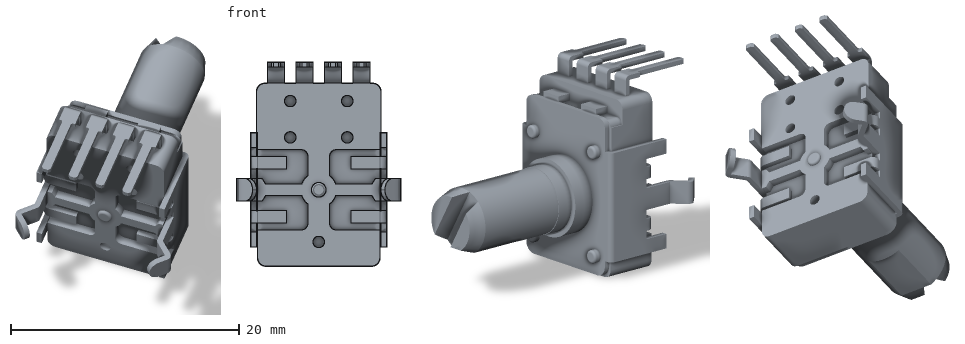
import cadquery as cq
import math


cut_margin = 0.24

sheet = 0.5
plate_half_width = 5.2
plate_top = 7.97
plate_bottom = -6.55
plate_top_radius = 0.79
plate_bottom_radius = 1.0
plate_bend_radius = 0.45
wing_half_width = 5.97
wing_half_height = 5.02
wing_notch_y = -4.16
leg_end_y = -6.52
leg_inner_z = 3.7
wing_inner_x = wing_half_width - sheet

clip_half_height = 1.0
clip_bend_y = -6.95
overall_width = 14.4
clip_outer_x = overall_width / 2
clip_elbow_x = clip_outer_x - sheet
clip_tip_length = 1.75
clip_tip_radius = 0.98

tab_inner_x = 2.8
tab_center_z = 2.38
tab_width = 1.1
tab_bend_radius = 0.6

body_top = 9.35
body_bottom = -6.7
body_back_y = -5.3
body_half_width = wing_inner_x
body_lower_half_width = 5.38
body_radius = 0.79

lip_back_y = -1.8
lip_shoulder_z = 7.19
lip_half_width = 5.35
lip_radius = 0.6
lip_block_inner_x = 1.48
lip_block_outer_x = 3.47
lip_block_top = 8.45

pocket_floor_y = -4.52
pocket_inner_x = 0.95
pocket_inner_z = 0.5
pocket_outer_z = 3.52
pocket_radius = 0.6
hub_radius = 1.57
ramp_inner_x = 4.66
ramp_outer_x = 4.97
hole_diameter = 1.0
hole_depth = 1.0
hole_centers = [(-2.5, 7.78), (2.5, 7.78), (-2.5, 4.6), (2.5, 4.6), (0, -4.57)]
rivet_radius = 0.65
rivet_height = 0.29
rivet_fillet = 0.2

stud_x = 4.02
stud_z = 4.78
stud_radius = 0.6
stud_fillet = 0.21
stud_height_left = 0.65
stud_height_right = 0.55

bushing_radius = 3.55
bushing_end_y = 2.0
collar_radius = 3.05
collar_end_y = 3.47
shaft_radius = 3.0
shaft_end_y = 13.5
flat_start_y = 6.5
flat_z = -2.6
taper_length = 1.45
taper_inset = 0.48
slot_angle = 120
slot_floor_half_width = 0.65
slot_tip_half_width = 1.07

terminal_pitch = 2.5
terminal_count = 4
terminal_top = 11.19
terminal_root = 0.24
terminal_thickness = 0.43
terminal_front_y = -3.07
terminal_shoulder_y = -4.75
terminal_end_y = -10.3
terminal_width = 1.5
terminal_neck_fillet = 0.2
pin_width = 0.8
pin_chamfer = 0.2


def box(x_range, y_range, z_range):
    """Axis-aligned box from its limits."""
    size = [high - low for low, high in (x_range, y_range, z_range)]
    corner = (x_range[0], y_range[0], z_range[0])
    return cq.Workplane("XY").box(*size, centered=False).translate(corner)


def front_plane(y):
    """Sketch plane at a given Y; local axes are X and Z, and a positive extrusion runs toward -Y."""
    return cq.Workplane("XZ", origin=(0, y, 0))


def cylinder(radius, start_y, end_y, x=0, z=0):
    """Round bar parallel to Y."""
    return front_plane(end_y).center(x, z).circle(radius).extrude(end_y - start_y)


def on_both_sides(shape):
    """The shape together with its mirror image across X = 0."""
    return shape.union(shape.mirror("YZ"))


def make_lip_clearance():
    """Space above the stepped lip: shoulder, rounded corner, ledge and raised block on each side."""
    ledge_z = lip_shoulder_z + lip_radius
    arc_center_x = lip_half_width - lip_radius
    diagonal = lip_radius * math.sqrt(0.5)
    above = body_top + cut_margin
    beyond = body_half_width + cut_margin
    side = (
        front_plane(-sheet)
        .moveTo(beyond, lip_shoulder_z)
        .lineTo(lip_half_width, lip_shoulder_z)
        .threePointArc((arc_center_x + diagonal, lip_shoulder_z + diagonal), (arc_center_x, ledge_z))
        .lineTo(lip_block_outer_x, ledge_z)
        .lineTo(lip_block_outer_x, lip_block_top)
        .lineTo(lip_block_inner_x, lip_block_top)
        .lineTo(lip_block_inner_x, ledge_z)
        .lineTo(0, ledge_z)
        .lineTo(0, above)
        .lineTo(beyond, above)
        .close()
        .extrude(-lip_back_y - sheet)
    )
    return on_both_sides(side)


def make_pocket():
    """Cutter for the upper +X rear pocket, open at the side and rounded around the central hub."""
    hub_z = math.sqrt(hub_radius**2 - pocket_inner_x**2)
    hub_x = math.sqrt(hub_radius**2 - pocket_inner_z**2)
    beyond = body_half_width + cut_margin
    diagonal = hub_radius * math.sqrt(0.5)
    outline = (
        front_plane(pocket_floor_y)
        .moveTo(pocket_inner_x, hub_z)
        .lineTo(pocket_inner_x, pocket_outer_z)
        .lineTo(beyond, pocket_outer_z)
        .lineTo(beyond, clip_half_height)
        .lineTo(ramp_outer_x, clip_half_height)
        .lineTo(ramp_inner_x, pocket_inner_z)
        .lineTo(hub_x, pocket_inner_z)
        .threePointArc((diagonal, diagonal), (pocket_inner_x, hub_z))
        .close()
        .extrude(pocket_floor_y - body_back_y)
    )
    corner = cq.selectors.NearestToPointSelector((pocket_inner_x, pocket_floor_y, pocket_outer_z))
    return outline.edges("|Y").edges(corner).fillet(pocket_radius)


def make_body():
    body = box(
        (-body_half_width, body_half_width), (body_back_y, -sheet), (body_bottom, body_top)
    )
    body = body.cut(
        on_both_sides(
            box(
                (body_lower_half_width, body_half_width),
                (body_back_y, -sheet),
                (body_bottom, wing_half_height),
            )
        )
    )
    body = body.edges("|Y and (>Z or <Z)").fillet(body_radius)
    body = body.cut(make_lip_clearance())
    upper_pockets = on_both_sides(make_pocket())
    body = body.cut(upper_pockets).cut(upper_pockets.mirror("XY"))
    holes = front_plane(body_back_y + hole_depth).pushPoints(hole_centers)
    body = body.cut(holes.circle(hole_diameter / 2).extrude(hole_depth))
    rivet = cylinder(rivet_radius, body_back_y - rivet_height, body_back_y)
    return body.union(rivet.faces("<Y").edges().fillet(rivet_fillet))


def make_plate():
    plate = box((-plate_half_width, plate_half_width), (-sheet, 0), (plate_bottom, plate_top))
    plate = plate.edges("|Y and >Z").fillet(plate_top_radius)
    plate = plate.edges("|Y and <Z").fillet(plate_bottom_radius)
    bridge = box(
        (-wing_half_width, wing_half_width), (-sheet, 0), (-wing_half_height, wing_half_height)
    )
    bridge = bridge.edges("|Z and >Y").fillet(plate_bend_radius)
    return plate.union(bridge)


def make_wing():
    """+X wing: a flat side wall with a leg at each end."""
    wall = box(
        (wing_inner_x, wing_half_width), (wing_notch_y, -sheet), (-wing_half_height, wing_half_height)
    )
    leg = box(
        (wing_inner_x, wing_half_width), (leg_end_y, wing_notch_y), (leg_inner_z, wing_half_height)
    )
    return wall.union(leg).union(leg.mirror("XY"))


def make_clip():
    """+X snap clip: a strip that bends outward and then back inward at 45 degrees."""
    step = sheet * math.sqrt(0.5)
    elbow_y = clip_bend_y - (clip_elbow_x + step - wing_half_width) - step
    reach = clip_tip_length * math.sqrt(0.5)
    tip_x = clip_elbow_x - reach
    tip_y = elbow_y - reach
    turn = math.radians(45) / 2
    bend_middle = (wing_half_width - sheet * math.cos(turn), clip_bend_y - sheet * math.sin(turn))
    clip = (
        cq.Workplane("XY", origin=(0, 0, -clip_half_height))
        .moveTo(wing_half_width, wing_notch_y)
        .lineTo(wing_inner_x, wing_notch_y)
        .lineTo(wing_inner_x, clip_bend_y)
        .threePointArc(bend_middle, (wing_half_width - step, clip_bend_y - step))
        .lineTo(clip_elbow_x, elbow_y)
        .lineTo(tip_x, tip_y)
        .lineTo(tip_x + step, tip_y - step)
        .lineTo(clip_elbow_x + step, elbow_y - step)
        .threePointArc((clip_elbow_x + sheet, elbow_y), (clip_elbow_x + step, elbow_y + step))
        .lineTo(wing_half_width, clip_bend_y)
        .close()
        .extrude(2 * clip_half_height)
    )
    return clip.edges("|(1,-1,0)").edges("<Y").fillet(clip_tip_radius)


def make_tab():
    """Upper +X crimp tab, folded from the wing onto the pocket floor."""
    tab = box(
        (tab_inner_x, wing_half_width),
        (pocket_floor_y - sheet, wing_notch_y),
        (tab_center_z - tab_width / 2, tab_center_z + tab_width / 2),
    )
    tab = tab.edges("|Z and >X and <Y").fillet(tab_bend_radius)
    inner_clearance = box(
        (tab_inner_x, wing_inner_x), (pocket_floor_y, wing_notch_y), (0, pocket_outer_z)
    )
    return tab.cut(inner_clearance)


def make_bracket():
    tab = make_tab()
    side = make_wing().union(make_clip()).union(tab).union(tab.mirror("XY"))
    return make_plate().union(on_both_sides(side))


def make_studs():
    studs = cq.Workplane("XY")
    for x, height in ((-stud_x, stud_height_left), (stud_x, stud_height_right)):
        for z in (-stud_z, stud_z):
            stud = cylinder(stud_radius, -sheet, height, x, z)
            studs = studs.union(stud.faces(">Y").edges().fillet(stud_fillet))
    return studs


def make_shaft():
    """Split shaft with a flat on its -Z side; both the round and the flat taper toward the tip."""
    taper_start_y = shaft_end_y - taper_length
    shaft = (
        cq.Workplane("XY")
        .lineTo(shaft_radius, 0)
        .lineTo(shaft_radius, taper_start_y)
        .lineTo(shaft_radius - taper_inset, shaft_end_y)
        .lineTo(0, shaft_end_y)
        .close()
        .revolve(360, (0, 0), (0, 1))
    )
    flat = (
        cq.Workplane("YZ")
        .moveTo(flat_start_y, -shaft_radius)
        .lineTo(flat_start_y, flat_z)
        .lineTo(taper_start_y, flat_z)
        .lineTo(shaft_end_y, flat_z + taper_inset)
        .lineTo(shaft_end_y, -shaft_radius)
        .close()
        .extrude(shaft_radius, both=True)
    )
    return shaft.cut(flat).cut(make_slot())


def make_slot():
    """Tapered slot across the shaft tip, as deep as the tapered end."""
    slot = (
        cq.Workplane("XY")
        .moveTo(-slot_floor_half_width, shaft_end_y - taper_length)
        .lineTo(slot_floor_half_width, shaft_end_y - taper_length)
        .lineTo(slot_tip_half_width, shaft_end_y)
        .lineTo(-slot_tip_half_width, shaft_end_y)
        .close()
        .extrude(shaft_radius, both=True)
    )
    return slot.rotate((0, 0, 0), (0, 1, 0), 90 - slot_angle)


def make_terminal(x):
    """Flat strip leaving the top of the body, bent toward -Y and narrowed to a pin."""
    half_width = terminal_width / 2
    half_pin = pin_width / 2
    neck_margin = 0.02
    lower = body_top - terminal_root
    profile = box(
        (-half_width, half_width), (terminal_end_y, terminal_front_y), (lower, terminal_top)
    )
    profile = profile.edges("|X and >Y and >Z").fillet(terminal_thickness)
    profile = profile.cut(
        box(
            (-half_width, half_width),
            (terminal_end_y, terminal_front_y - terminal_thickness),
            (lower, terminal_top - terminal_thickness),
        )
    )
    blade = box((-half_width, half_width), (terminal_shoulder_y, terminal_front_y), (lower, terminal_top))
    pin = box((-half_pin, half_pin), (terminal_end_y, terminal_front_y), (lower, terminal_top))
    pin = pin.edges("|Z and <Y").chamfer(pin_chamfer)
    outline = blade.union(pin)
    neck = cq.selectors.BoxSelector(
        (-half_pin - neck_margin, terminal_shoulder_y - neck_margin, lower),
        (half_pin + neck_margin, terminal_shoulder_y + neck_margin, terminal_top),
    )
    outline = outline.edges("|Z").edges(neck).fillet(terminal_neck_fillet)
    return profile.intersect(outline).translate((x, 0, 0))


bushing = cylinder(bushing_radius, -sheet, bushing_end_y)
collar = cylinder(collar_radius, 0, collar_end_y)
result = make_body().union(make_bracket()).union(make_studs())
result = result.union(bushing).union(collar).union(make_shaft())
for index in range(terminal_count):
    result = result.union(make_terminal((index - (terminal_count - 1) / 2) * terminal_pitch))